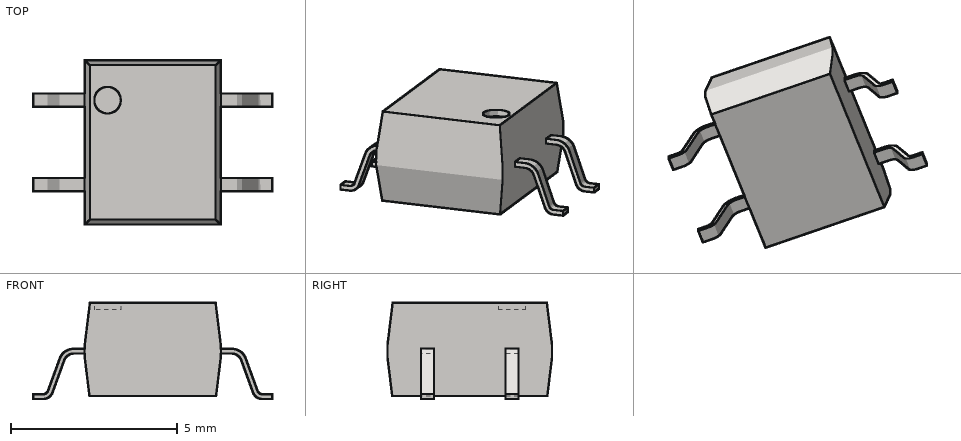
import cadquery as cq
import math

SPAN = 7.2
TOTAL_HEIGHT = 2.9

BODY_LENGTH_X = 4.1
BODY_LENGTH_Y = 4.95
BODY_BOTTOM = 0.09
BAND_HEIGHT = 0.42
DRAFT_ANGLE = 7.0

LEAD_THICKNESS = 0.15
LEAD_WIDTH = 0.4
LEAD_PITCH = 2.54
LEAD_TOP = 1.52
LEG_ANGLE = 70.0
SHOULDER_INNER_RADIUS = 0.3
FOOT_INNER_RADIUS = 0.15
FOOT_LENGTH = 0.3

MARK_DIAMETER = 0.8
MARK_DEPTH = 0.2
MARK_X = -1.36
MARK_Y = LEAD_PITCH / 2

BAND_BOTTOM = LEAD_TOP - LEAD_THICKNESS / 2 - BAND_HEIGHT / 2
BAND_TOP = BAND_BOTTOM + BAND_HEIGHT


def make_package():
    """Package with its recess in the top face."""
    lower_height = BAND_BOTTOM - BODY_BOTTOM
    upper_height = TOTAL_HEIGHT - BAND_TOP
    band = (
        cq.Workplane("XY", origin=(0, 0, BAND_BOTTOM))
        .rect(BODY_LENGTH_X, BODY_LENGTH_Y)
        .extrude(BAND_HEIGHT)
    )
    upper = band.faces(">Z").wires().toPending().workplane().extrude(
        upper_height, combine=False, taper=DRAFT_ANGLE
    )
    lower = band.faces("<Z").wires().toPending().workplane().extrude(
        lower_height, combine=False, taper=DRAFT_ANGLE
    )
    mark = (
        cq.Workplane("XY", origin=(MARK_X, MARK_Y, TOTAL_HEIGHT - MARK_DEPTH))
        .circle(MARK_DIAMETER / 2)
        .extrude(MARK_DEPTH)
    )
    return band.union(upper).union(lower).cut(mark)


def point_on_arc(center, radius, degrees):
    """Point on a circle in the XZ plane, with the angle measured from +X towards +Z."""
    angle = math.radians(degrees)
    return (center[0] + radius * math.cos(angle), center[1] + radius * math.sin(angle))


def make_left_lead(y_center):
    """Lead on the -X side, from its foot tip to the package wall."""
    tip_x = -SPAN / 2
    wall_x = -BODY_LENGTH_X / 2
    foot_outer_radius = FOOT_INNER_RADIUS + LEAD_THICKNESS
    shoulder_outer_radius = SHOULDER_INNER_RADIUS + LEAD_THICKNESS

    foot_center = (tip_x + FOOT_LENGTH, foot_outer_radius)
    shoulder_z = LEAD_TOP - shoulder_outer_radius
    center_rise = shoulder_z - foot_center[1]
    radius_sum = foot_outer_radius + SHOULDER_INNER_RADIUS
    slope = math.radians(LEG_ANGLE)
    center_run = (radius_sum + center_rise * math.cos(slope)) / math.sin(slope)
    shoulder_center = (foot_center[0] + center_run, shoulder_z)

    foot_start = -90.0
    foot_middle = foot_start + LEG_ANGLE / 2
    foot_end = foot_start + LEG_ANGLE
    shoulder_end = 90.0
    shoulder_middle = shoulder_end + LEG_ANGLE / 2
    shoulder_start = shoulder_end + LEG_ANGLE

    return (
        cq.Workplane("XZ", origin=(0, y_center + LEAD_WIDTH / 2, 0))
        .moveTo(tip_x, 0)
        .lineTo(foot_center[0], 0)
        .threePointArc(
            point_on_arc(foot_center, foot_outer_radius, foot_middle),
            point_on_arc(foot_center, foot_outer_radius, foot_end),
        )
        .lineTo(*point_on_arc(shoulder_center, SHOULDER_INNER_RADIUS, shoulder_start))
        .threePointArc(
            point_on_arc(shoulder_center, SHOULDER_INNER_RADIUS, shoulder_middle),
            point_on_arc(shoulder_center, SHOULDER_INNER_RADIUS, shoulder_end),
        )
        .lineTo(wall_x, LEAD_TOP - LEAD_THICKNESS)
        .lineTo(wall_x, LEAD_TOP)
        .lineTo(shoulder_center[0], LEAD_TOP)
        .threePointArc(
            point_on_arc(shoulder_center, shoulder_outer_radius, shoulder_middle),
            point_on_arc(shoulder_center, shoulder_outer_radius, shoulder_start),
        )
        .lineTo(*point_on_arc(foot_center, FOOT_INNER_RADIUS, foot_end))
        .threePointArc(
            point_on_arc(foot_center, FOOT_INNER_RADIUS, foot_middle),
            point_on_arc(foot_center, FOOT_INNER_RADIUS, foot_start),
        )
        .lineTo(tip_x, LEAD_THICKNESS)
        .close()
        .extrude(LEAD_WIDTH)
    )


package = make_package()

leads = []
for lead_y in (-LEAD_PITCH / 2, LEAD_PITCH / 2):
    left_lead = make_left_lead(lead_y)
    right_lead = left_lead.mirror("YZ")
    leads.append(left_lead.val())
    leads.append(right_lead.val())

result = cq.Compound.makeCompound([package.val(), *leads])